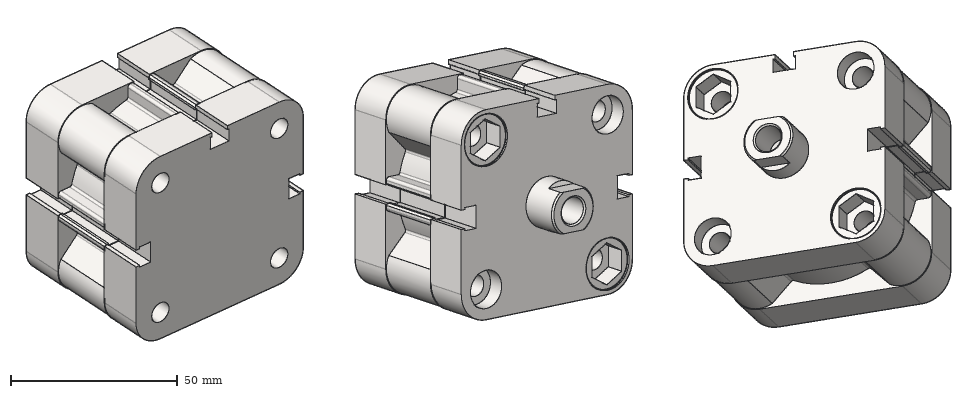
import cadquery as cq
import math


SIDE = 65.5
CAP_THICKNESS = 14.95
TUBE_LENGTH = 21.75
TUBE_START = CAP_THICKNESS
REAR_CAP_START = CAP_THICKNESS + TUBE_LENGTH

BOLT_OFFSET = 23.25
BOLT_HOLE_DIAMETER = 6.75

SLOT_TURNS = (0, 90, 270)

CAP_CORNER_RADIUS = SIDE / 2 - BOLT_OFFSET
CAP_SLOT_MOUTH = 6.0
CAP_SLOT_WIDTH = 7.2
CAP_SLOT_LIP = 1.45
CAP_SLOT_DEPTH = 5.7
COUNTERBORE_DIAMETER = 11.9
COUNTERBORE_DEPTH = 5.45
HEAD_RECESS_DIAMETER = 16.4
HEAD_RECESS_DEPTH = 0.4
HEAD_GROOVE_WIDTH = 0.25
HEAD_GROOVE_FLOOR = 0.65
HEX_ACROSS_FLATS = 11.3
HEX_FLOOR = 6.9

TUBE_INSET = 0.25
TUBE_HALF = SIDE / 2 - TUBE_INSET
BARREL_RADIUS = 28.0
COLUMN_RADIUS = TUBE_HALF - BOLT_OFFSET
WEB_WIDTH = 17.5
DIAGONAL_TURNS = (45, 135)
RAIL_WIDTH = 10.75
RAIL_ROUND = 1.0
ROOT_FILLET = 0.85
ON_SURFACE_TOLERANCE = 0.005
TUBE_SLOT_MOUTH = CAP_SLOT_MOUTH - 2 * TUBE_INSET
TUBE_SLOT_WIDTH = CAP_SLOT_WIDTH - 2 * TUBE_INSET
TUBE_SLOT_LIP = CAP_SLOT_LIP
TUBE_SLOT_DEPTH = CAP_SLOT_DEPTH - 2 * TUBE_INSET
MOUTH_CHAMFER = 0.65

ROD_DIAMETER = 16.0
ROD_REACH = 12.9
ROD_CHAMFER = 0.5
FLAT_ACROSS = 13.0
FLAT_LENGTH = 6.0
FLAT_END_SLANT = 0.5
ROD_HOLE_DIAMETER = 8.4
ROD_HOLE_DEPTH = 11.8
ROD_HOLE_CHAMFER = 0.5
DRILL_POINT_ANGLE = 118.0


def yz_plane(x):
    """Workplane across the axis: local x is +Y, local y is +Z, extrusions run to +X."""
    return cq.Workplane("YZ", origin=(x, 0, 0))


def bolt_points(signs):
    return [(y_sign * BOLT_OFFSET, z_sign * BOLT_OFFSET) for y_sign, z_sign in signs]


SCREW_CORNERS = bolt_points([(1, 1), (-1, -1)])
MOUNTING_CORNERS = bolt_points([(1, -1), (-1, 1)])
ALL_CORNERS = SCREW_CORNERS + MOUNTING_CORNERS


def turned_about_axis(shape, angle):
    return shape.rotate((0, 0, 0), (1, 0, 0), angle)


def bolt_holes(start, length):
    return yz_plane(start).pushPoints(ALL_CORNERS).circle(BOLT_HOLE_DIAMETER / 2).extrude(length)


def t_slot(start, length, top, mouth, width, lip, depth):
    """T-slot cutter open at Z = top: a narrow mouth above a wider channel."""
    mouth_cut = yz_plane(start).center(0, top - depth / 2).rect(mouth, depth).extrude(length)
    channel_height = depth - lip
    channel_middle = top - lip - channel_height / 2
    channel = yz_plane(start).center(0, channel_middle).rect(width, channel_height).extrude(length)
    return mouth_cut.union(channel)


def cap_blank(start):
    """Rounded square plate with the bolt holes and a T-slot on each of three sides."""
    cap = yz_plane(start).rect(SIDE, SIDE).extrude(CAP_THICKNESS)
    cap = cap.edges("|X").fillet(CAP_CORNER_RADIUS)
    cap = cap.cut(bolt_holes(start, CAP_THICKNESS))
    slot = t_slot(
        start, CAP_THICKNESS, SIDE / 2, CAP_SLOT_MOUTH, CAP_SLOT_WIDTH, CAP_SLOT_LIP, CAP_SLOT_DEPTH
    )
    for angle in SLOT_TURNS:
        cap = cap.cut(turned_about_axis(slot, angle))
    return cap


def make_front_cap():
    cap = cap_blank(0)

    counterbores = yz_plane(0).pushPoints(MOUNTING_CORNERS).circle(COUNTERBORE_DIAMETER / 2)
    cap = cap.cut(counterbores.extrude(COUNTERBORE_DEPTH))

    recess_radius = HEAD_RECESS_DIAMETER / 2
    recesses = yz_plane(0).pushPoints(SCREW_CORNERS).circle(recess_radius).extrude(HEAD_RECESS_DEPTH)
    groove_outer = yz_plane(0).pushPoints(SCREW_CORNERS).circle(recess_radius)
    groove_inner = yz_plane(0).pushPoints(SCREW_CORNERS).circle(recess_radius - HEAD_GROOVE_WIDTH)
    grooves = groove_outer.extrude(HEAD_GROOVE_FLOOR).cut(groove_inner.extrude(HEAD_GROOVE_FLOOR))
    cap = cap.cut(recesses).cut(grooves)

    hex_across_corners = HEX_ACROSS_FLATS / math.cos(math.pi / 6)
    for y, z in SCREW_CORNERS:
        socket = yz_plane(0).center(y, z).transformed(rotate=(0, 0, 90))
        cap = cap.cut(socket.polygon(6, hex_across_corners).extrude(HEX_FLOOR))

    rod_bore = yz_plane(0).circle(ROD_DIAMETER / 2).extrude(CAP_THICKNESS)
    return cap.cut(rod_bore)


def make_tube():
    tube = yz_plane(TUBE_START).circle(BARREL_RADIUS).extrude(TUBE_LENGTH)

    column_centre = BOLT_OFFSET * math.sqrt(2)
    half_web = WEB_WIDTH / 2
    flat_end = column_centre + math.sqrt(COLUMN_RADIUS**2 - half_web**2)
    tip = column_centre + COLUMN_RADIUS
    web = yz_plane(TUBE_START).moveTo(-flat_end, -half_web).lineTo(flat_end, -half_web)
    web = web.threePointArc((tip, 0), (flat_end, half_web)).lineTo(-flat_end, half_web)
    web = web.threePointArc((-tip, 0), (-flat_end, -half_web)).close().extrude(TUBE_LENGTH)
    for angle in DIAGONAL_TURNS:
        tube = tube.union(turned_about_axis(web, angle))

    rail = yz_plane(TUBE_START).center(0, TUBE_HALF / 2).rect(RAIL_WIDTH, TUBE_HALF)
    rail = rail.extrude(TUBE_LENGTH).edges("|X and >Z").fillet(RAIL_ROUND)
    for angle in SLOT_TURNS:
        tube = tube.union(turned_about_axis(rail, angle))

    def lies_on_barrel(edge):
        middle = edge.Center()
        return abs(math.hypot(middle.y, middle.z) - BARREL_RADIUS) < ON_SURFACE_TOLERANCE

    tube = tube.edges("|X").filter(lies_on_barrel).fillet(ROOT_FILLET)

    slot = t_slot(
        TUBE_START, TUBE_LENGTH, TUBE_HALF,
        TUBE_SLOT_MOUTH, TUBE_SLOT_WIDTH, TUBE_SLOT_LIP, TUBE_SLOT_DEPTH,
    )
    half_mouth = TUBE_SLOT_MOUTH / 2
    mouth_chamfer = yz_plane(TUBE_START).polyline([
        (-half_mouth - MOUTH_CHAMFER, TUBE_HALF),
        (half_mouth + MOUTH_CHAMFER, TUBE_HALF),
        (half_mouth, TUBE_HALF - MOUTH_CHAMFER),
        (-half_mouth, TUBE_HALF - MOUTH_CHAMFER),
    ]).close().extrude(TUBE_LENGTH)
    slot = slot.union(mouth_chamfer)
    for angle in SLOT_TURNS:
        tube = tube.cut(turned_about_axis(slot, angle))

    return tube.cut(bolt_holes(TUBE_START, TUBE_LENGTH))


def make_rod():
    """Rod through the front cap, with two wrench flats and a drilled end."""
    radius = ROD_DIAMETER / 2
    rod = yz_plane(-ROD_REACH).circle(radius).extrude(ROD_REACH + CAP_THICKNESS)
    rod = rod.faces("<X").chamfer(ROD_CHAMFER)

    flat_end = -ROD_REACH + FLAT_LENGTH
    flat_cutter = cq.Workplane("XZ").polyline([
        (-ROD_REACH, FLAT_ACROSS / 2),
        (flat_end, FLAT_ACROSS / 2),
        (flat_end + FLAT_END_SLANT, radius),
        (-ROD_REACH, radius),
    ]).close().extrude(radius, both=True)
    rod = rod.cut(flat_cutter).cut(turned_about_axis(flat_cutter, 180))

    hole_radius = ROD_HOLE_DIAMETER / 2
    point_depth = hole_radius / math.tan(math.radians(DRILL_POINT_ANGLE / 2))
    bottom = -ROD_REACH + ROD_HOLE_DEPTH
    drill = cq.Workplane("XY").polyline([
        (-ROD_REACH, 0),
        (-ROD_REACH, hole_radius + ROD_HOLE_CHAMFER),
        (-ROD_REACH + ROD_HOLE_CHAMFER, hole_radius),
        (bottom, hole_radius),
        (bottom + point_depth, 0),
    ]).close().revolve(360, (0, 0, 0), (1, 0, 0))
    return rod.cut(drill)


front_cap = make_front_cap()
tube = make_tube()
rear_cap = cap_blank(REAR_CAP_START)
rod = make_rod()

result = cq.Compound.makeCompound([front_cap.val(), tube.val(), rear_cap.val(), rod.val()])